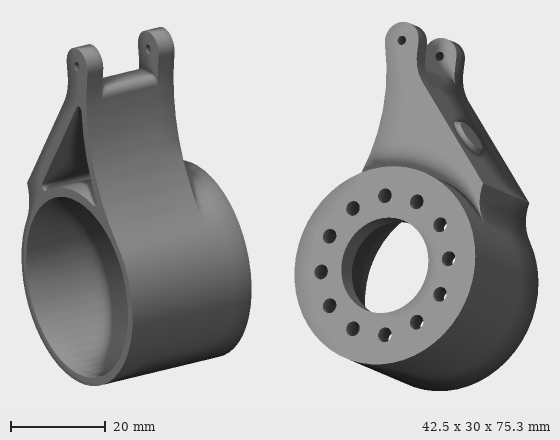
import cadquery as cq
import math

ring_diameter = 42.5
ring_radius = ring_diameter / 2
bore_radius = 19.5
ring_depth = 30.0
floor_thickness = 5.0
centre_hole_radius = 10.2
bolt_circle_radius = 15.0
bolt_hole_radius = 1.6
bolt_count = 12

bracket_depth = 22.0
lug_radius = 4.0
lug_thickness = 4.0
overall_height = 75.25
lug_height = overall_height - ring_radius - lug_radius
pin_hole_radius = 1.0
saddle_height = 45.0
saddle_round = 2.0
flank_bottom = (-19.1, 17.4)
flank_top = (-4.75, 40.8)
foot_x = -19.3
neck_lean = math.radians(7.8)
neck_bottom_z = 46.9
sweep_radius = 42.0

flank_wall = 4.0
sweep_wall = 2.0
window_arch_radius = 21.5
window_corner_radius = 1.0
window_back_wall = 2.0

button_radius = 4.5
button_height = 1.0
button_top_radius = button_radius - button_height
button_y = 14.5
button_z = 29.2

flank_run = flank_top[0] - flank_bottom[0]
flank_rise = flank_top[1] - flank_bottom[1]
flank_length = math.hypot(flank_run, flank_rise)
along = (flank_run / flank_length, flank_rise / flank_length)
inward = (along[1], -along[0])

ring_reach = ring_radius + sweep_radius
lug_reach = lug_radius + sweep_radius
sweep_z = (ring_reach**2 - lug_reach**2 + lug_height**2) / (2 * lug_height)
sweep_x = math.sqrt(ring_reach**2 - sweep_z**2)


def xz_plane(y):
    """Sketch plane facing the front; extrusions from it run towards +Y."""
    return cq.Workplane(cq.Plane(origin=(0, y, 0), xDir=(-1, 0, 0), normal=(0, 1, 0)))


def disc(radius, y, depth, x=0, z=0):
    return xz_plane(y).center(-x, z).circle(radius).extrude(depth)


def prism(sketch, depth):
    """Extrude an outline drawn on the XZ plane towards +Y."""
    return sketch.close().extrude(-depth)


def bracket():
    ring_ratio = ring_radius / ring_reach
    lug_ratio = lug_radius / lug_reach
    ring_tangent = (sweep_x * ring_ratio, sweep_z * ring_ratio)
    lug_right = (sweep_x * lug_ratio, lug_height + (sweep_z - lug_height) * lug_ratio)
    sweep_angle = math.atan2(
        (lug_right[1] + ring_tangent[1]) / 2 - sweep_z,
        (lug_right[0] + ring_tangent[0]) / 2 - sweep_x,
    )
    sweep_middle = (
        sweep_x + sweep_radius * math.cos(sweep_angle),
        sweep_z + sweep_radius * math.sin(sweep_angle),
    )
    lug_left = (-lug_radius * math.cos(neck_lean), lug_height - lug_radius * math.sin(neck_lean))
    neck_x = lug_left[0] + (lug_left[1] - neck_bottom_z) * math.tan(neck_lean)
    foot = (foot_x, math.sqrt(ring_radius**2 - foot_x**2))

    outline = (
        cq.Workplane("XZ")
        .moveTo(0, 0)
        .lineTo(*ring_tangent)
        .threePointArc(sweep_middle, lug_right)
        .threePointArc((0, lug_height + lug_radius), lug_left)
        .lineTo(neck_x, neck_bottom_z)
        .tangentArcPoint(flank_top, relative=False)
        .lineTo(*flank_bottom)
    )
    chord = (flank_bottom[0] - foot[0], flank_bottom[1] - foot[1])
    chord_length = math.hypot(*chord)
    tangent_angle = math.atan2(-foot[0], foot[1])
    turn = math.atan2(chord[1], chord[0]) - tangent_angle
    bulge = chord_length / 2 * math.tan(turn / 2)
    foot_middle = (
        (foot[0] + flank_bottom[0]) / 2 + bulge * chord[1] / chord_length,
        (foot[1] + flank_bottom[1]) / 2 - bulge * chord[0] / chord_length,
    )
    body = prism(outline.threePointArc(foot_middle, foot), bracket_depth)

    gap_width = bracket_depth - 2 * lug_thickness
    gap_top = lug_height + 2 * lug_radius
    gap_size = (4 * lug_radius, gap_width, gap_top - saddle_height)
    gap = cq.Workplane("XY").box(*gap_size, centered=(True, False, False))
    gap = gap.translate((0, lug_thickness, saddle_height))
    body = body.cut(gap)
    middle = bracket_depth / 2
    margin = 0.1
    saddle_box = cq.selectors.BoxSelector(
        (-2 * lug_radius, middle - margin, saddle_height - margin),
        (2 * lug_radius, middle + margin, saddle_height + margin),
    )
    body = body.edges("|Y").edges(saddle_box).fillet(saddle_round)
    return body.cut(disc(pin_hole_radius, 0, bracket_depth, z=lug_height))


def window():
    depth = bracket_depth - window_back_wall
    overshoot = flank_length / 4

    def along_wall(distance):
        return tuple(flank_bottom[i] + flank_wall * inward[i] + distance * along[i] for i in (0, 1))

    start = along_wall(-overshoot)
    end = along_wall(flank_length + overshoot)
    blank = prism(cq.Workplane("XZ").polyline([(0, 0), start, end, (sweep_x, 0)]), depth)
    blank = blank.cut(disc(window_arch_radius, 0, depth))
    blank = blank.cut(disc(sweep_radius + sweep_wall, 0, depth, x=sweep_x, z=sweep_z))
    triangle = blank.solids(cq.selectors.NearestToPointSelector((0, depth / 2, button_z)))
    return cq.Workplane(triangle.val()).edges("|Y").fillet(window_corner_radius)


def button():
    x = flank_bottom[0] + (button_z - flank_bottom[1]) * along[0] / along[1]
    outward = cq.Vector(-inward[0], 0, -inward[1])
    cone = cq.Solid.makeCone(
        button_radius, button_top_radius, button_height, cq.Vector(x, button_y, button_z), outward
    )
    return cq.Workplane(cone)


def floor_holes():
    holes = disc(centre_hole_radius, 0, ring_depth)
    for index in range(bolt_count):
        angle = 2 * math.pi * index / bolt_count
        x = bolt_circle_radius * math.cos(angle)
        z = bolt_circle_radius * math.sin(angle)
        holes = holes.union(disc(bolt_hole_radius, 0, ring_depth, x, z))
    return holes


result = (
    bracket()
    .cut(window())
    .union(disc(ring_radius, 0, ring_depth))
    .union(button())
    .cut(disc(bore_radius, 0, ring_depth - floor_thickness))
    .cut(floor_holes())
)